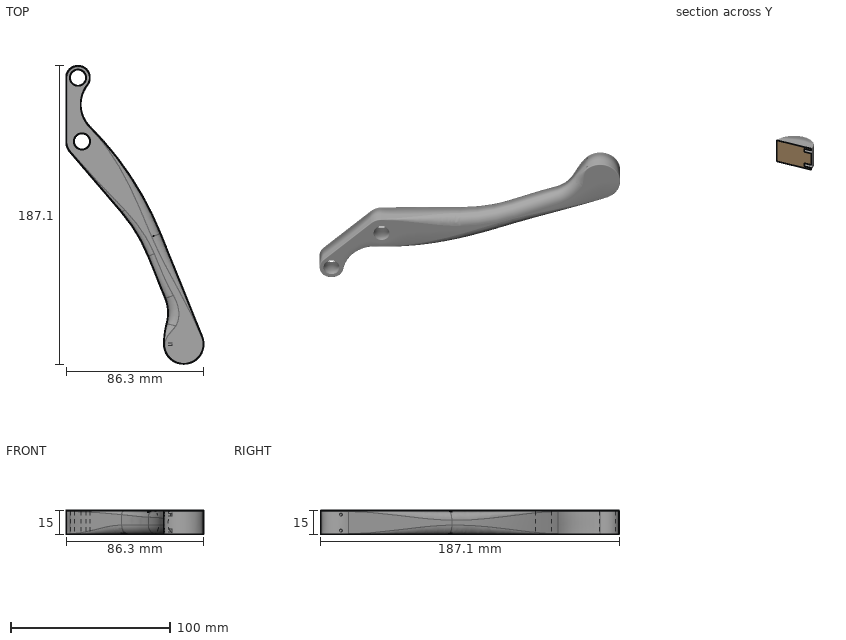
import cadquery as cq
import math

THICKNESS = 15.0
HOLE_DIAMETER = 10.0

BOSS_RADIUS = 7.5
PIVOT = cq.Vector(2.5, -40.0)
PIVOT_CORNER_RADIUS = 10.0
NOTCH_RADIUS = 20.0

SHOULDER_ANGLE = 40.5
ARM_ANGLE = 22.0
SHOULDER_LENGTH = 49.8
ARM_BEND_RADIUS = 100.0
ARM_LENGTH = 28.5
FINGER_HOOK_RADIUS = 25.0

BACK_RADIUS = 200.0
BACK_LINE_END_Y = -97.5

GRIP_CENTRE = cq.Vector(66.33, -167.1)
GRIP_RADIUS = 12.5
PIN_HOLE_DIAMETER = 1.75
PIN_HOLE_DEPTH = 5.0
PIN_HOLE_SPACING = 10.0

EDGE_RADIUS = 0.5
FULL_RADIUS = 6.0
TOP_SHOULDER_RADIUS = 2.5
TOP_BEND_RADIUS = 4.1
TOP_ARM_RADIUS = 5.4
TOP_HOOK_RADIUS = 5.8

SAME_POINT = 0.01
CONTOUR = 1


def direction(degrees):
    """Unit vector along an edge heading, measured from -Y towards +X."""
    angle = math.radians(degrees)
    return cq.Vector(math.sin(angle), -math.cos(angle))


def normal(degrees):
    """Unit vector on the +X side of an edge heading."""
    angle = math.radians(degrees)
    return cq.Vector(math.cos(angle), math.sin(angle))


def circle_meeting(centre_a, distance_a, centre_b, distance_b):
    """Point at the given distances from two centres, on the left when going from a to b."""
    span = centre_b - centre_a
    along = (distance_a**2 - distance_b**2 + span.Length**2) / (2 * span.Length)
    across = math.sqrt(distance_a**2 - along**2)
    unit = span.normalized()
    left = cq.Vector(-unit.y, unit.x)
    return centre_a + unit * along + left * across


def toward(start, end, distance):
    """Point at a distance from start on the way to end."""
    return start + (end - start).normalized() * distance


def arc_middle(centre, radius, start, end):
    """Middle of the shorter arc between two points of a circle."""
    return toward(centre, (start + end) * 0.5, radius)


boss_centre = cq.Vector(0, 0)
boss_left = boss_centre - cq.Vector(BOSS_RADIUS, 0)
corner_start = PIVOT - cq.Vector(PIVOT_CORNER_RADIUS, 0)
corner_end = PIVOT - normal(SHOULDER_ANGLE) * PIVOT_CORNER_RADIUS
shoulder_end = corner_end + direction(SHOULDER_ANGLE) * SHOULDER_LENGTH
bend_centre = shoulder_end - normal(SHOULDER_ANGLE) * ARM_BEND_RADIUS
bend_end = bend_centre + normal(ARM_ANGLE) * ARM_BEND_RADIUS
arm_end = bend_end + direction(ARM_ANGLE) * ARM_LENGTH
hook_centre = arm_end - normal(ARM_ANGLE) * FINGER_HOOK_RADIUS

grip_left = GRIP_CENTRE - cq.Vector(GRIP_RADIUS, 0)
offset = grip_left - hook_centre
neck_radius = offset.Length**2 - FINGER_HOOK_RADIUS**2
neck_radius /= 2 * (FINGER_HOOK_RADIUS - offset.x)
neck_centre = grip_left + cq.Vector(neck_radius, 0)
hook_end = toward(hook_centre, neck_centre, FINGER_HOOK_RADIUS)

grip_right = GRIP_CENTRE + normal(ARM_ANGLE) * GRIP_RADIUS
back_length = (BACK_LINE_END_Y - grip_right.y) / math.cos(math.radians(ARM_ANGLE))
back_line_end = grip_right - direction(ARM_ANGLE) * back_length
back_centre = back_line_end - normal(ARM_ANGLE) * BACK_RADIUS
notch_centre = circle_meeting(
    boss_centre, BOSS_RADIUS + NOTCH_RADIUS, back_centre, BACK_RADIUS + NOTCH_RADIUS
)
notch_start = toward(notch_centre, back_centre, NOTCH_RADIUS)
notch_end = toward(boss_centre, notch_centre, BOSS_RADIUS)


def lever_blank():
    """Square-edged plate with the outline of the lever, smooth all the way round."""

    def arc(outline, centre, radius, start, end):
        middle = arc_middle(centre, radius, start, end)
        return outline.threePointArc((middle.x, middle.y), (end.x, end.y))

    def line(outline, end):
        return outline.lineTo(end.x, end.y)

    outline = cq.Workplane("XY").moveTo(boss_left.x, boss_left.y)
    outline = line(outline, corner_start)
    outline = arc(outline, PIVOT, PIVOT_CORNER_RADIUS, corner_start, corner_end)
    outline = line(outline, shoulder_end)
    outline = arc(outline, bend_centre, ARM_BEND_RADIUS, shoulder_end, bend_end)
    outline = line(outline, arm_end)
    outline = arc(outline, hook_centre, FINGER_HOOK_RADIUS, arm_end, hook_end)
    outline = arc(outline, neck_centre, neck_radius, hook_end, grip_left)
    grip_bottom = GRIP_CENTRE - cq.Vector(0, GRIP_RADIUS)
    outline = outline.threePointArc((grip_bottom.x, grip_bottom.y), (grip_right.x, grip_right.y))
    outline = line(outline, back_line_end)
    outline = arc(outline, back_centre, BACK_RADIUS, back_line_end, notch_start)
    outline = arc(outline, notch_centre, NOTCH_RADIUS, notch_start, notch_end)
    boss_top = boss_centre + cq.Vector(0, BOSS_RADIUS)
    outline = outline.threePointArc((boss_top.x, boss_top.y), (boss_left.x, boss_left.y))
    return outline.close().extrude(THICKNESS)


def rounding_radius(vertex, special_radii):
    """Rounding radius at an outline corner: its own value, or the plain edge radius."""
    for point, radius in special_radii:
        if math.hypot(vertex.X - point.x, vertex.Y - point.y) < SAME_POINT:
            return radius
    return EDGE_RADIUS


def round_outline(body, selector, special_radii):
    """Round one face's outline with a radius that varies from point to point."""
    rounding = cq.occ_impl.shapes.BRepFilletAPI_MakeFillet(body.val().wrapped)
    face = body.faces(selector)
    rounding.Add(face.edges().vals()[0].wrapped)
    for vertex in face.vertices().vals():
        radius = rounding_radius(vertex, special_radii)
        rounding.SetRadius(radius, CONTOUR, vertex.wrapped)
    return cq.Workplane(cq.Shape.cast(rounding.Shape()))


def mounting_holes():
    """Through holes in the boss and at the pivot."""
    centres = [(boss_centre.x, boss_centre.y), (PIVOT.x, PIVOT.y)]
    return cq.Workplane("XY").pushPoints(centres).circle(HOLE_DIAMETER / 2).extrude(THICKNESS)


def pin_holes():
    """Two blind holes, one above the other, running along X into the side of the grip."""
    return (
        cq.Workplane("YZ", origin=(grip_left.x, grip_left.y, THICKNESS / 2))
        .pushPoints([(0, -PIN_HOLE_SPACING / 2), (0, PIN_HOLE_SPACING / 2)])
        .circle(PIN_HOLE_DIAMETER / 2)
        .extrude(PIN_HOLE_DEPTH)
    )


top_radii = [
    (shoulder_end, TOP_SHOULDER_RADIUS),
    (bend_end, TOP_BEND_RADIUS),
    (arm_end, TOP_ARM_RADIUS),
    (hook_end, TOP_HOOK_RADIUS),
    (back_line_end, FULL_RADIUS),
]
bottom_radii = [(point, FULL_RADIUS) for point, _ in top_radii]

lever = lever_blank()
lever = round_outline(lever, ">Z", top_radii)
lever = round_outline(lever, "<Z", bottom_radii)
result = lever.cut(mounting_holes()).cut(pin_holes())